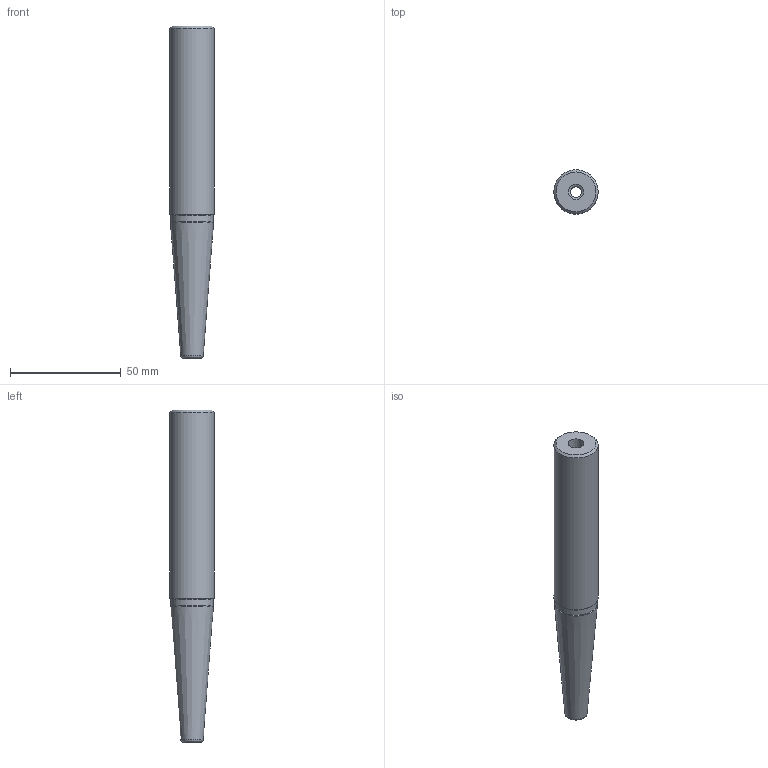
import cadquery as cq
import math

total_length = 150.0
shank_diameter = 20.0
shank_length = 85.0
shank_chamfer = 1.0

nose_top_diameter = 19.5
nose_tip_diameter = 10.0
tip_fillet = 1.0

groove_diameter = 19.0
groove_width = 3.65

through_bore_diameter = 5.0
shank_bore_diameter = 7.0
shank_bore_depth = 20.0
drill_point_angle = 118.0

shank_radius = shank_diameter / 2
nose_top_radius = nose_top_diameter / 2
nose_tip_radius = nose_tip_diameter / 2
groove_radius = groove_diameter / 2
shank_bottom = total_length - shank_length
nose_top = shank_bottom - groove_width


def revolve_about_z(profile):
    """Turn a closed radius-height profile about the Z axis."""
    return profile.revolve(360, (0, 0, 0), (0, 1, 0))


def make_body():
    """Solid turned body: nose cone, groove and shank, with chamfered top and rounded tip."""
    upper_wall_height = shank_radius - groove_radius
    lower_wall_height = nose_top_radius - groove_radius
    profile = (
        cq.Workplane("XZ")
        .moveTo(0, 0)
        .lineTo(nose_tip_radius, 0)
        .lineTo(nose_top_radius, nose_top)
        .lineTo(groove_radius, nose_top + lower_wall_height)
        .lineTo(groove_radius, shank_bottom - upper_wall_height)
        .lineTo(shank_radius, shank_bottom)
        .lineTo(shank_radius, total_length)
        .lineTo(0, total_length)
        .close()
    )
    body = revolve_about_z(profile)
    body = body.faces(">Z").edges().chamfer(shank_chamfer)
    return body.faces("<Z").edges().fillet(tip_fillet)


def make_bore():
    """Stepped through bore with a conical drill-point shoulder."""
    through_radius = through_bore_diameter / 2
    wide_radius = shank_bore_diameter / 2
    shoulder_top = total_length - shank_bore_depth
    shoulder_height = (wide_radius - through_radius) / math.tan(math.radians(drill_point_angle / 2))
    profile = (
        cq.Workplane("XZ")
        .moveTo(0, 0)
        .lineTo(through_radius, 0)
        .lineTo(through_radius, shoulder_top - shoulder_height)
        .lineTo(wide_radius, shoulder_top)
        .lineTo(wide_radius, total_length)
        .lineTo(0, total_length)
        .close()
    )
    return revolve_about_z(profile)


result = make_body().cut(make_bore())